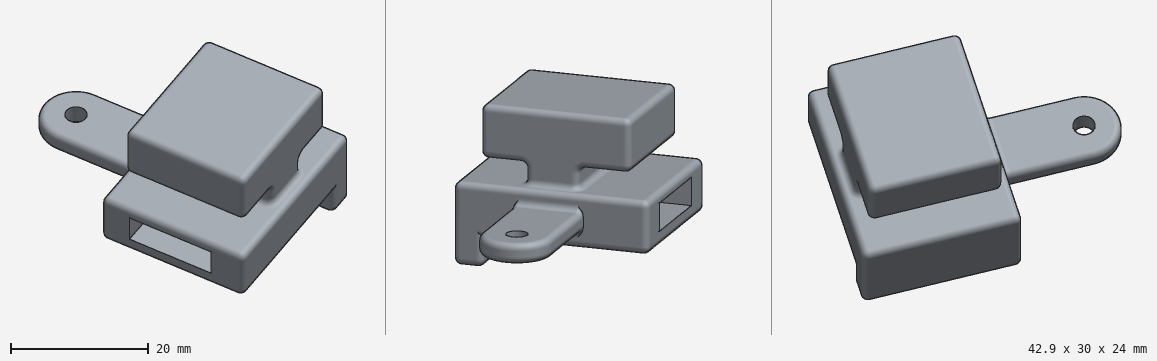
import cadquery as cq

TOTAL_LENGTH = 42.88
EDGE_RADIUS = 1.0

HOUSING_LENGTH = 24.0
HOUSING_WIDTH = 30.0
HOUSING_HEIGHT = 8.0

LIP_WIDTH = 4.5
LIP_DROP = 4.5

HEAD_LENGTH = 20.0
HEAD_WIDTH = 23.0
HEAD_HEIGHT = 8.0
NECK_WIDTH = 8.0
NECK_HEIGHT = 3.5
NECK_OFFSET_Y = 0.5

TAB_WIDTH = 10.8
TAB_THICKNESS = 3.0
TAB_OFFSET_Y = 0.4
TAB_HOLE_DIAMETER = 3.2

SOCKET_WIDTH = 13.8
SOCKET_HEIGHT = 4.3
SOCKET_DEPTH = 20.0
SOCKET_OFFSET_X = -0.3
SOCKET_OFFSET_Z = 0.4

FACE_X = -HOUSING_LENGTH / 2
TAB_LENGTH = TOTAL_LENGTH - HOUSING_LENGTH
TAB_RADIUS = TAB_WIDTH / 2
TAB_CENTRE_X = FACE_X - TAB_LENGTH + TAB_RADIUS
MID_Z = HOUSING_HEIGHT / 2


def rounded_box(length, width, height, centre_y, bottom_z):
    """Box centred on X with every edge rounded."""
    box = cq.Workplane("XY").box(length, width, height, centered=(True, True, False))
    return box.edges().fillet(EDGE_RADIUS).translate((0, centre_y, bottom_z))


def make_housing():
    """Housing block with its lip; the two rounded boxes meet in a sharp inner corner."""
    block = rounded_box(HOUSING_LENGTH, HOUSING_WIDTH, HOUSING_HEIGHT, 0, 0)
    lip_centre_y = (HOUSING_WIDTH - LIP_WIDTH) / 2
    lip = rounded_box(HOUSING_LENGTH, LIP_WIDTH, HOUSING_HEIGHT + LIP_DROP, lip_centre_y, -LIP_DROP)
    return block.union(lip)


def make_head():
    """T-profile along X, rounded everywhere except at its foot."""
    foot_z = HOUSING_HEIGHT
    shoulder_z = foot_z + NECK_HEIGHT
    top_z = shoulder_z + HEAD_HEIGHT
    neck_back_y = NECK_OFFSET_Y + NECK_WIDTH / 2
    neck_front_y = NECK_OFFSET_Y - NECK_WIDTH / 2
    head = (
        cq.Workplane("YZ", origin=(-HEAD_LENGTH / 2, 0, 0))
        .moveTo(neck_back_y, foot_z)
        .lineTo(neck_back_y, shoulder_z)
        .lineTo(HEAD_WIDTH / 2, shoulder_z)
        .lineTo(HEAD_WIDTH / 2, top_z)
        .lineTo(-HEAD_WIDTH / 2, top_z)
        .lineTo(-HEAD_WIDTH / 2, shoulder_z)
        .lineTo(neck_front_y, shoulder_z)
        .lineTo(neck_front_y, foot_z)
        .close()
        .extrude(HEAD_LENGTH)
    )
    neck_corners = cq.selectors.BoxSelector(
        (-HEAD_LENGTH, -NECK_WIDTH, shoulder_z - EDGE_RADIUS / 2),
        (HEAD_LENGTH, NECK_WIDTH, shoulder_z + EDGE_RADIUS / 2),
    )
    head = head.edges("|X").edges(neck_corners).fillet(EDGE_RADIUS)
    return head.edges("not <Z").fillet(EDGE_RADIUS)


def flare_foot(head):
    """Concave fillet around the foot of the neck, shaped against a temporary wide floor."""
    floor = cq.Workplane("XY").box(2 * HEAD_LENGTH, 2 * HEAD_WIDTH, HOUSING_HEIGHT)
    floor = floor.translate((0, 0, MID_Z))
    foot = cq.selectors.BoxSelector(
        (-HEAD_LENGTH, -NECK_WIDTH, HOUSING_HEIGHT - EDGE_RADIUS / 2),
        (HEAD_LENGTH, NECK_WIDTH, HOUSING_HEIGHT + EDGE_RADIUS / 2),
    )
    return head.union(floor).edges(foot).fillet(EDGE_RADIUS).cut(floor)


def make_tab():
    """Round-ended tab that flares in thickness at its root, with a keyring hole."""
    half = TAB_THICKNESS / 2
    flare_half = half + EDGE_RADIUS
    tip_x = FACE_X - TAB_LENGTH
    flare_start_x = FACE_X - EDGE_RADIUS
    side_profile = (
        cq.Workplane("XZ", origin=(0, TAB_OFFSET_Y, MID_Z))
        .moveTo(tip_x, -half)
        .lineTo(flare_start_x, -half)
        .radiusArc((FACE_X, -flare_half), EDGE_RADIUS)
        .lineTo(FACE_X, flare_half)
        .radiusArc((flare_start_x, half), EDGE_RADIUS)
        .lineTo(tip_x, half)
        .close()
        .extrude(TAB_WIDTH / 2, both=True)
    )
    plan = (
        cq.Workplane("XY", origin=(0, TAB_OFFSET_Y, 0))
        .moveTo(FACE_X, TAB_RADIUS)
        .lineTo(TAB_CENTRE_X, TAB_RADIUS)
        .threePointArc((tip_x, 0), (TAB_CENTRE_X, -TAB_RADIUS))
        .lineTo(FACE_X, -TAB_RADIUS)
        .close()
        .extrude(HOUSING_HEIGHT)
    )
    tab = side_profile.intersect(plan)
    rims = tab.edges("not >X").edges("not |Z").edges("not |Y")
    tab = rims.fillet(EDGE_RADIUS)
    hole = (
        cq.Workplane("XY", origin=(TAB_CENTRE_X, TAB_OFFSET_Y, 0))
        .circle(TAB_HOLE_DIAMETER / 2)
        .extrude(HOUSING_HEIGHT)
    )
    return tab.cut(hole)


def make_socket():
    """Rectangular pocket entering from the -Y face."""
    return cq.Workplane("XY").box(SOCKET_WIDTH, SOCKET_DEPTH, SOCKET_HEIGHT).translate(
        (SOCKET_OFFSET_X, (SOCKET_DEPTH - HOUSING_WIDTH) / 2, MID_Z + SOCKET_OFFSET_Z)
    )


result = make_housing().union(flare_foot(make_head())).union(make_tab()).cut(make_socket())